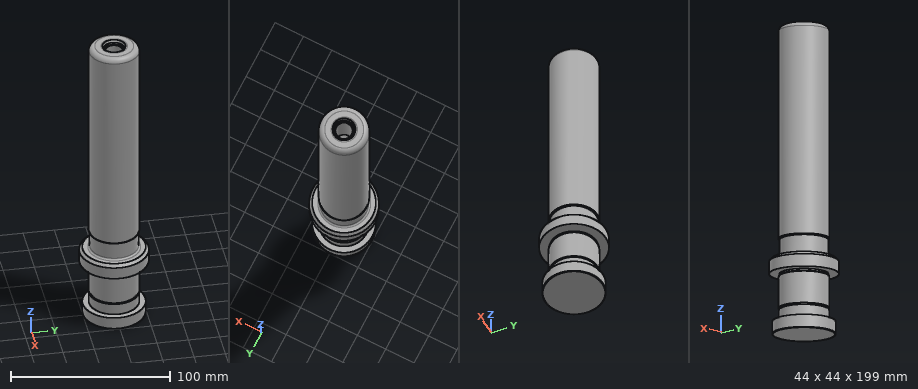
import cadquery as cq
import math

TOTAL_HEIGHT = 199.0

CAP_FLANGE_DIAMETER = 40.0
CAP_FLANGE_THICKNESS = 8.4
CAP_FLANGE_CHAMFER = 0.4
CAP_BOSS_DIAMETER = 31.8
CAP_HEIGHT = 16.0

SHAFT_DIAMETER = 32.0
COLLAR_DIAMETER = 44.0
NECK_DIAMETER = 30.8
UNDERCUT_DIAMETER = NECK_DIAMETER

COLLAR_BOTTOM = 39.0
COLLAR_THICKNESS = 10.0
NECK_TOP = 60.9

FOOT_CHAMFER = 1.0
UNDERCUT_HEIGHT = 1.2
UNDERCUT_TAPER = 0.5
COLLAR_CHAMFER = 2.0
NECK_FILLET = 1.2
NECK_TAPER = 0.8
TOP_ROUND_WIDTH = 3.8
TOP_ROUND_HEIGHT = 3.2
TOP_ROUND_RADIUS = 4.0

RIM_DIAMETER = 16.5
RIM_DEPTH = 0.2
CONE_DIAMETER = 14.5
CONE_ANGLE = 60.0
RECESS_DIAMETER = 12.7
RECESS_DEPTH = 3.2
BORE_DIAMETER = 10.7
BORE_DEPTH = 27.9
DRILL_POINT_ANGLE = 118.0


def revolve_about_z(outline):
    """Full turn of a closed radius-height outline about the Z axis."""
    return outline.close().revolve(360, (0, 0, 0), (0, 1, 0))


def make_end_cap():
    """Flange with a chamfered lower rim and a boss on top."""
    flange = cq.Workplane("XY").circle(CAP_FLANGE_DIAMETER / 2).extrude(CAP_FLANGE_THICKNESS)
    flange = flange.faces("<Z").chamfer(CAP_FLANGE_CHAMFER)
    boss = cq.Workplane("XY").circle(CAP_BOSS_DIAMETER / 2).extrude(CAP_HEIGHT)
    return flange.union(boss)


def make_pillar_blank():
    """Turned pillar: foot, undercut, collar, neck and long rounded shaft."""
    shaft_radius = SHAFT_DIAMETER / 2
    collar_radius = COLLAR_DIAMETER / 2
    neck_radius = NECK_DIAMETER / 2
    undercut_radius = UNDERCUT_DIAMETER / 2
    undercut_bottom = COLLAR_BOTTOM - UNDERCUT_HEIGHT
    collar_top = COLLAR_BOTTOM + COLLAR_THICKNESS

    outline = (
        cq.Workplane("XZ")
        .moveTo(0, CAP_HEIGHT)
        .lineTo(shaft_radius - FOOT_CHAMFER, CAP_HEIGHT)
        .lineTo(shaft_radius, CAP_HEIGHT + FOOT_CHAMFER)
        .lineTo(shaft_radius, undercut_bottom - UNDERCUT_TAPER)
        .lineTo(undercut_radius, undercut_bottom)
        .lineTo(undercut_radius, COLLAR_BOTTOM)
        .lineTo(collar_radius, COLLAR_BOTTOM)
        .lineTo(collar_radius, collar_top - COLLAR_CHAMFER)
        .lineTo(collar_radius - COLLAR_CHAMFER, collar_top)
        .lineTo(neck_radius + NECK_FILLET, collar_top)
        .radiusArc((neck_radius, collar_top + NECK_FILLET), NECK_FILLET)
        .lineTo(neck_radius, NECK_TOP)
        .lineTo(shaft_radius, NECK_TOP + NECK_TAPER)
        .lineTo(shaft_radius, TOTAL_HEIGHT - TOP_ROUND_HEIGHT)
        .radiusArc((shaft_radius - TOP_ROUND_WIDTH, TOTAL_HEIGHT), -TOP_ROUND_RADIUS)
        .lineTo(0, TOTAL_HEIGHT)
    )
    return revolve_about_z(outline)


def make_centre_hole():
    """Shallow rim, centring cone and recess above a blind drilled bore."""
    rim_radius = RIM_DIAMETER / 2
    cone_radius = CONE_DIAMETER / 2
    recess_radius = RECESS_DIAMETER / 2
    bore_radius = BORE_DIAMETER / 2
    cone_height = (cone_radius - recess_radius) / math.tan(math.radians(CONE_ANGLE / 2))
    point_height = bore_radius / math.tan(math.radians(DRILL_POINT_ANGLE / 2))
    cone_top = TOTAL_HEIGHT - RIM_DEPTH
    recess_bottom = TOTAL_HEIGHT - RECESS_DEPTH
    bore_bottom = TOTAL_HEIGHT - BORE_DEPTH

    outline = (
        cq.Workplane("XZ")
        .moveTo(0, bore_bottom - point_height)
        .lineTo(bore_radius, bore_bottom)
        .lineTo(bore_radius, recess_bottom)
        .lineTo(recess_radius, recess_bottom)
        .lineTo(recess_radius, cone_top - cone_height)
        .lineTo(cone_radius, cone_top)
        .lineTo(rim_radius, TOTAL_HEIGHT)
        .lineTo(0, TOTAL_HEIGHT)
    )
    return revolve_about_z(outline)


end_cap = make_end_cap()
pillar = make_pillar_blank().cut(make_centre_hole())

result = cq.Compound.makeCompound([end_cap.val(), pillar.val()])